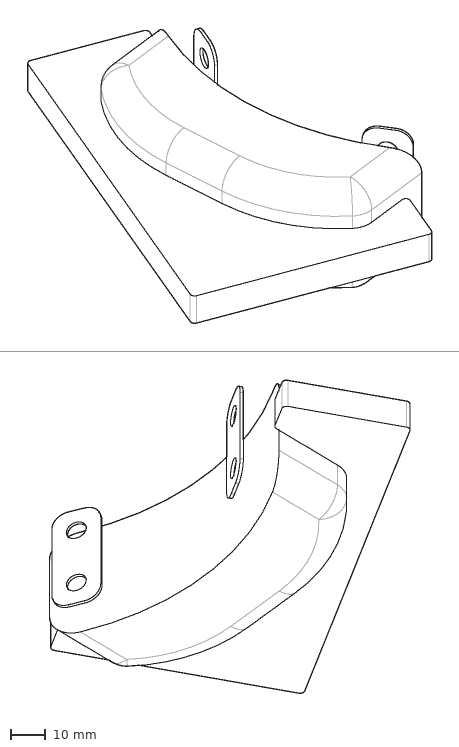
import cadquery as cq
import math


cushion_height = 38.0
cushion_half_width = 49.1
front_half_flat = 10.4
rounding = 8.0
front_radius = 52.0
back_radius = 89.1
throat_depth = 28.3

plate_thickness = 10.0
plate_turn = -27.2
plate_length = 120.1
left_arm_depth = 38.0
right_arm_depth = 75.3
plate_left = -74.1
plate_front = -20.5
plate_rise = 1.5
plate_corner_radius = 1.4

tab_width = 15.0
tab_height = 35.4
tab_thickness = 1.0
tab_corner_radius = 5.0
tab_turn = 27.2
tab_offset = 33.8
tab_y = 46.3
tab_hole_diameter = 6.0
tab_hole_spacing = 19.9

match_tolerance = 0.001

corner_x = cushion_half_width - rounding
front_center_y = front_radius
corner_reach = front_radius - rounding
corner_y = front_center_y - math.sqrt(corner_reach**2 - (corner_x - front_half_flat) ** 2)
front_arc_sweep = math.asin((corner_x - front_half_flat) / corner_reach)
back_center_y = throat_depth + back_radius
back_tip_y = back_center_y - math.sqrt(back_radius**2 - cushion_half_width**2)


def on_front_arc(angle):
    """Point of the right front arc, at an angle from its lowest point."""
    return (
        front_half_flat + front_radius * math.sin(angle),
        front_center_y - front_radius * math.cos(angle),
    )


def on_corner_arc(angle):
    """Point of the right corner arc, at an angle from straight down."""
    return (corner_x + rounding * math.sin(angle), corner_y - rounding * math.cos(angle))


def mirrored(point):
    return (-point[0], point[1])


def cushion_prism(back_y, height, mid_z=0):
    """Prism of the cushion's front outline, with straight sides to a flat back at back_y."""
    front_mid = on_front_arc(front_arc_sweep / 2)
    front_end = on_front_arc(front_arc_sweep)
    corner_mid = on_corner_arc((front_arc_sweep + math.pi / 2) / 2)
    corner_end = on_corner_arc(math.pi / 2)
    return (
        cq.Workplane("XY")
        .workplane(offset=mid_z - height / 2)
        .moveTo(-front_half_flat, 0)
        .lineTo(front_half_flat, 0)
        .threePointArc(front_mid, front_end)
        .threePointArc(corner_mid, corner_end)
        .lineTo(cushion_half_width, back_y)
        .lineTo(-cushion_half_width, back_y)
        .lineTo(*mirrored(corner_end))
        .threePointArc(mirrored(corner_mid), mirrored(front_end))
        .threePointArc(mirrored(front_mid), (-front_half_flat, 0))
        .close()
        .extrude(height)
    )


def make_cushion():
    """Pad with rounded top and bottom edges and a concave back."""
    block = cushion_prism(back_tip_y, cushion_height)
    rounded = block.faces(">Z or <Z").edges("not >Y").fillet(rounding)
    back_cutter = (
        cq.Workplane("XY")
        .center(0, back_center_y)
        .circle(back_radius)
        .extrude(cushion_height, both=True)
    )
    return rounded.cut(back_cutter)


def make_plate():
    """L-shaped plate with rounded corners and a notch shaped to the cushion."""
    right = plate_left + plate_length
    left_arm_back = plate_front + left_arm_depth
    right_arm_back = plate_front + right_arm_depth
    blank = (
        cq.Workplane("XY")
        .workplane(offset=plate_rise - plate_thickness / 2)
        .polyline(
            [
                (plate_left, plate_front),
                (right, plate_front),
                (right, right_arm_back),
                (0, right_arm_back),
                (0, left_arm_back),
                (plate_left, left_arm_back),
            ]
        )
        .close()
        .extrude(plate_thickness)
        .edges("|Z")
        .fillet(plate_corner_radius)
        .rotate((0, 0, 0), (0, 0, 1), plate_turn)
    )
    notch_back = right_arm_back + plate_length
    notch = cushion_prism(notch_back, plate_thickness, plate_rise)

    def is_notch_mouth(edge):
        center = edge.Center()
        on_notch_side = math.isclose(abs(center.x), cushion_half_width, abs_tol=match_tolerance)
        return on_notch_side and center.y > corner_y + rounding

    return blank.cut(notch).edges("|Z").filter(is_notch_mouth).fillet(plate_corner_radius)


def make_tab(side):
    """Tab with a hole near each end; side is -1 for the left tab and 1 for the right one."""
    return (
        cq.Workplane("XZ")
        .rect(tab_width, tab_height)
        .extrude(tab_thickness / 2, both=True)
        .edges("|Y")
        .fillet(tab_corner_radius)
        .faces("<Y")
        .workplane(origin=(0, 0, 0))
        .rarray(1.4, tab_hole_spacing, 1, 2)
        .hole(tab_hole_diameter)
        .rotate((0, 0, 0), (0, 0, 1), side * tab_turn)
        .translate((side * tab_offset, tab_y, 0))
    )


cushion = make_cushion()
plate = make_plate()
tabs = [make_tab(side).val() for side in (-1, 1)]

result = cq.Compound.makeCompound([cushion.val(), plate.val(), *tabs])